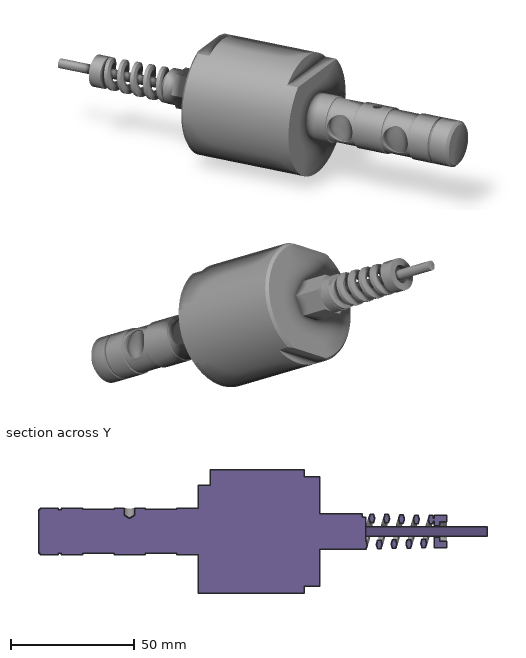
import cadquery as cq
import math


rod_diameter = 4.0
collar_start = 16.5
collar_length = 5.1
collar_diameter = 13.3
recess_diameter = 7.6
recess_depth = 2.7
collar_bore_diameter = 4.5

nose_start = 49.4
nose_tip_diameter = 11.7
nose_root_diameter = 12.0
neck_start = 50.8
neck_diameter = 14.8
hex_start = 55.2
hex_across_flats = neck_diameter

body_start = 68.0
body_length = 49.5
body_diameter = 50.3
body_chamfer = 1.1
front_flat_length = 6.4
front_flat_height = 22.2
rear_flat_length = 5.0
rear_flat_height = 18.8

overall_length = 182.1
stem_diameter = 19.1
waist_diameter = 18.0
waist_starts = (126.2, 151.5)
waist_length = 12.5
pocket_diameter = 11.7
pocket_floor = 6.2
groove_start = 172.8
groove_width = 1.1
groove_diameter = 17.8
stem_chamfer = 1.1
drill_diameter = 4.0
drill_depth = 3.0
drill_point_angle = 118.0

spring_pitch = 6.0
spring_section_depth = 3.6
spring_section_width = 2.5
spring_crest_width = 1.5
spring_embedding = 1.0
spring_start_radius = 4.7
spring_end_radius = 5.5
spring_first_angle = 51.0

collar_end = collar_start + collar_length
body_end = body_start + body_length


def cylinder(start, end, diameter):
    """Solid cylinder on the X axis between two stations."""
    return cq.Workplane("YZ", origin=(start, 0, 0)).circle(diameter / 2).extrude(end - start)


def make_rod():
    """Plain pin, free in the collar bore and butting on the nose."""
    return cylinder(0, nose_start, rod_diameter)


def make_collar():
    collar = cylinder(collar_start, collar_end, collar_diameter)
    recess = cylinder(collar_start, collar_start + recess_depth, recess_diameter)
    bore = cylinder(collar_start, collar_end, collar_bore_diameter)
    return collar.cut(recess).cut(bore)


def make_nose():
    """Slightly tapered spigot inside the last coil of the spring."""
    profile = [
        (nose_start, 0),
        (nose_start, nose_tip_diameter / 2),
        (neck_start, nose_root_diameter / 2),
        (neck_start, 0),
    ]
    return cq.Workplane("XY").polyline(profile).close().revolve(360, (0, 0, 0), (1, 0, 0))


def make_neck():
    nose = make_nose()
    neck = cylinder(neck_start, hex_start, neck_diameter)
    hex_across_corners = hex_across_flats / math.cos(math.radians(30))
    hexagon = (
        cq.Workplane("YZ", origin=(hex_start, 0, 0))
        .polygon(6, hex_across_corners)
        .extrude(body_start - hex_start)
    )
    return nose.union(neck).union(hexagon)


def flat_cutter(start, length, height):
    """Block, centred on a station, that removes everything above a height of the cylinder."""
    return cq.Workplane("XY", origin=(start, 0, height)).rect(length, body_diameter).extrude(body_diameter)


def make_body():
    body = cylinder(body_start, body_end, body_diameter).faces("<X").chamfer(body_chamfer)
    front_flat = flat_cutter(body_start + front_flat_length / 2, front_flat_length, front_flat_height)
    rear_flat = flat_cutter(body_end - rear_flat_length / 2, rear_flat_length, rear_flat_height)
    return body.cut(front_flat).cut(front_flat.mirror("XY")).cut(rear_flat)


def ring_cutter(start, width, floor_diameter):
    """Ring that turns the stem down to a floor diameter."""
    return cylinder(start, start + width, body_diameter).cut(cylinder(start, start + width, floor_diameter))


def side_pocket_cutter(center_x):
    """Round flat-bottomed pocket in the -Y side of the stem."""
    return (
        cq.Workplane("XZ", origin=(center_x, -pocket_floor, 0))
        .circle(pocket_diameter / 2)
        .extrude(stem_diameter)
    )


def drill_cutter(center_x):
    """Drilled hole from +Z with a conical bottom."""
    radius = drill_diameter / 2
    point_height = radius / math.tan(math.radians(drill_point_angle / 2))
    top = stem_diameter / 2
    shoulder = top - drill_depth
    profile = [(0, top), (radius, top), (radius, shoulder), (0, shoulder - point_height)]
    return (
        cq.Workplane("XZ", origin=(center_x, 0, 0))
        .polyline(profile)
        .close()
        .revolve(360, (0, 0, 0), (0, 1, 0))
    )


def make_stem():
    stem = cylinder(body_end, overall_length, stem_diameter).faces(">X").chamfer(stem_chamfer)
    stem = stem.cut(ring_cutter(groove_start, groove_width, groove_diameter))
    for waist_start in waist_starts:
        pocket = side_pocket_cutter(waist_start + waist_length / 2)
        stem = stem.cut(ring_cutter(waist_start, waist_length, waist_diameter))
        stem = stem.cut(pocket).cut(pocket.mirror("XZ"))
    drill_x = (waist_starts[0] + waist_length + waist_starts[1]) / 2
    return stem.cut(drill_cutter(drill_x))


def make_spring():
    """Tapered coil whose ends merge into the collar and the neck."""
    spring_start = collar_end - spring_embedding
    spring_length = neck_start + spring_embedding - spring_start
    taper = math.degrees(math.atan2(spring_end_radius - spring_start_radius, spring_length))
    path = cq.Wire.makeHelix(spring_pitch, spring_length, spring_start_radius, angle=taper)

    half_depth = spring_section_depth / 2
    half_width = spring_section_width / 2
    half_crest = spring_crest_width / 2
    section = [
        (half_depth, -half_crest),
        (half_depth, half_crest),
        (0, half_width),
        (-half_depth, half_crest),
        (-half_depth, -half_crest),
        (0, -half_width),
    ]
    coil = (
        cq.Workplane("XZ", origin=(spring_start_radius, 0, 0))
        .polyline(section)
        .close()
        .sweep(cq.Workplane(obj=path), isFrenet=True)
    )
    coil = coil.rotate((0, 0, 0), (0, 1, 0), 90)
    coil = coil.rotate((0, 0, 0), (1, 0, 0), spring_first_angle)
    return coil.translate((spring_start, 0, 0))


def make_housing():
    """Collar, spring, neck, large cylinder and stem in one piece."""
    housing = make_neck().union(make_body()).union(make_stem())
    return housing.union(make_spring()).union(make_collar())


rod = make_rod()
housing = make_housing()
result = cq.Compound.makeCompound([housing.val(), rod.val()])